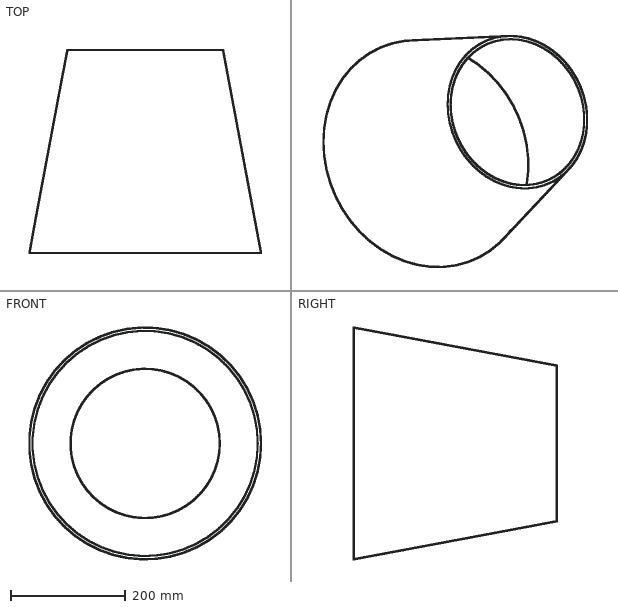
import cadquery as cq

large_outer_diameter = 406.4
small_outer_diameter = 273.0
wall_thickness = 6.0
length = 356.0

large_outer_radius = large_outer_diameter / 2
small_outer_radius = small_outer_diameter / 2
large_inner_radius = large_outer_radius - wall_thickness
small_inner_radius = small_outer_radius - wall_thickness


def reducer():
    """Revolve the slanted wall section about the Y axis, large end at Y = 0."""
    wall_section = (
        cq.Workplane("XY")
        .moveTo(large_inner_radius, 0)
        .lineTo(large_outer_radius, 0)
        .lineTo(small_outer_radius, length)
        .lineTo(small_inner_radius, length)
        .close()
    )
    return wall_section.revolve(360, (0, 0, 0), (0, 1, 0))


result = reducer()